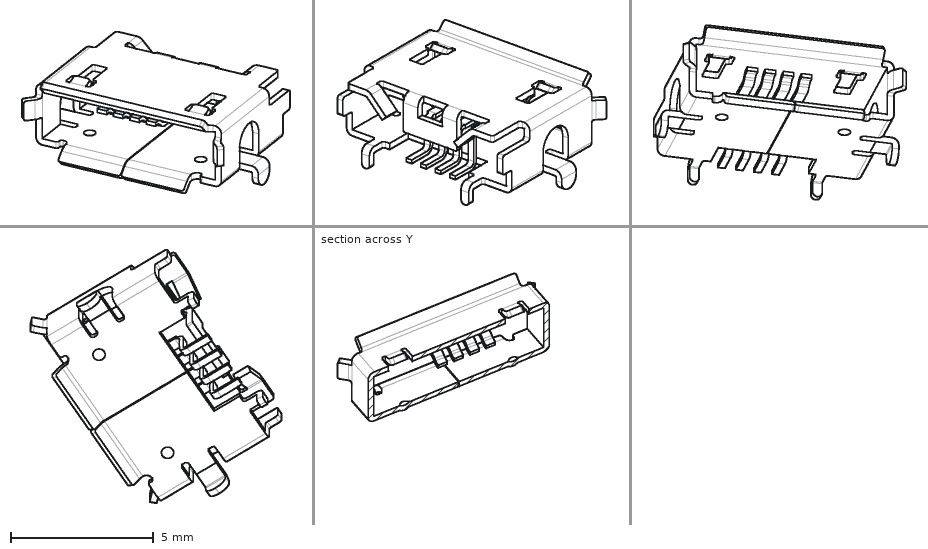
import cadquery as cq
import math

SHEET = 0.25
SHELL_WIDTH = 7.41
SHELL_HEIGHT = 2.36
SHELL_DEPTH = 5.01
CORNER_RADIUS = 0.26
HALF_WIDTH = SHELL_WIDTH / 2
WALL_INSIDE = HALF_WIDTH - SHEET
ROOF_INSIDE = SHELL_HEIGHT - SHEET
OVERCUT = 0.09

LIP_REACH = 0.59
LIP_ANGLE = 45
LIP_BEND = 0.2
LIP_TIP_RADIUS = 0.09
ROOF_LIP_WIDTH = 6.48
ROOF_LIP_ROOT = 0.13
SIDE_LIP_HEIGHT = 0.765
SIDE_LIP_CENTER_Z = 1.47
SIDE_LIP_ROOT = 0.09
FLOOR_LIP_HALF_WIDTH = 2.51
SEAM_GAP = 0.03
LIP_RELIEF_WIDTH = 0.33
LIP_RELIEF_DEPTH = 0.23
LIP_RELIEF_CORNER = 0.09
LIP_RELIEF_ROOT = 0.22

LEG_CENTER_Y = 2.03
LEG_WIDTH = 0.825
LEG_SPAN = 8.6
LEG_DROP = 0.58
LEG_BEND = 0.035
ROUND_END = 0.99
ARCH_WIDTH = 1.4
ARCH_TOP = 1.66
LEG_RELIEF_END = 2.87
LEG_RELIEF_RADIUS = 0.1

PIN_X = 2.23
PIN_WIDTH = 0.35
PIN_REAR = 5.28
PIN_ROOT = 0.095

FLOOR_REAR = 4.5
WALL_TAIL_BOTTOM = 0.955
WALL_TAIL_TOP = 1.71
WALL_TAIL_RADIUS = 0.11
WALL_NOTCH_RADIUS = 0.08
SIDE_SLOT_START = 3.49
ROOF_TAIL_HALF_WIDTH = 3.26
ROOF_TAIL_RADIUS = 0.1
ROOF_NOTCH_HALF_WIDTH = 2.44
ROOF_NOTCH_START = 4.12
ROOF_NOTCH_RADIUS = 0.09
CONTACT_NOTCH_HALF_WIDTH = 1.77
CONTACT_NOTCH_START = 3.44

WING_START = 4.395
WING_BEND = 0.1
WING_LENGTH = 0.955
WING_ANGLE = 45
STOP_WIDTH = 2.39
STOP_BEND = 0.08
STOP_BOTTOM = 0.87
STOP_TIP_RADIUS = 0.05
STOP_ROOT = 0.06
STOP_WINDOW_WIDTH = 1.08
STOP_WINDOW_BOTTOM = 1.63

TONGUE_X = 2.38
TONGUE_ROOT_Y = 0.62
TONGUE_WIDTH = 0.645
TONGUE_BEND = 0.465
TONGUE_TIP_RADIUS = 0.1
TONGUE_ANGLE = 45
WINDOW_WIDE = 0.98
WINDOW_NARROW = 0.59
WINDOW_STEP_Y = 1.15
WINDOW_REAR_Y = 2.27
WINDOW_RADIUS = 0.08

DIMPLE_X = 2.22
DIMPLE_Y = 1.21
DIMPLE_RADIUS = 0.215
DIMPLE_DEPTH = 0.09

CONTACT_PITCH = 0.65
CONTACT_SLOTS = (-2, -1, 0, 1)
CONTACT_THICKNESS = 0.15
BEAM_WIDTH = 0.38
TAIL_WIDTH = 0.26
SHOULDER_RADIUS = 0.06
TAIL_END_Y = 4.82
TAIL_Z = 0.047
LEG_Y = 3.715
BEAM_Z = 1.36
NOSE_Z = 1.62
NOSE_BEND_Y = 1.12
NOSE_END_Y = 0.43
CONTACT_BEND = 0.24
NOSE_BEND = 0.33
NOSE_ANGLE = 45


def block(x0, x1, y0, y1, z0, z1):
    """Box between two opposite corners."""
    return cq.Workplane("XY").box(x1 - x0, y1 - y0, z1 - z0, centered=False).translate((x0, y0, z0))


def both_sides(body):
    """The body together with its mirror image across the middle plane of the shell."""
    return body.union(body.mirror("YZ"))


def bent_strip(root, forward, inside, width, bend, angle, length=0, root_radius=0, tip_radius=0):
    """Sheet strip that leaves `root` along `forward` and folds towards `inside`.

    `root` lies on the face that ends up inside the fold, `bend` is the radius of that face, and
    `length` is the straight run after the fold.
    """
    forward = cq.Vector(*forward)
    inside = cq.Vector(*inside)
    across = forward.cross(inside)
    sine = math.sin(math.radians(angle))
    cosine = math.cos(math.radians(angle))
    half_sine = math.sin(math.radians(angle / 2))
    half_cosine = math.cos(math.radians(angle / 2))
    outer = bend + SHEET

    def on_fold(radius, along, toward):
        return (radius * along, bend - radius * toward)

    inner_end = on_fold(bend, sine, cosine)
    outer_end = on_fold(outer, sine, cosine)
    inner_tip = (inner_end[0] + length * cosine, inner_end[1] + length * sine)
    outer_tip = (outer_end[0] + length * cosine, outer_end[1] + length * sine)
    profile = cq.Workplane(cq.Plane(root, forward, across)).moveTo(0, -SHEET)
    profile = profile.threePointArc(on_fold(outer, half_sine, half_cosine), outer_end)
    if length:
        profile = profile.lineTo(*outer_tip)
        profile = profile.lineTo(*inner_tip)
    profile = profile.lineTo(*inner_end)
    profile = profile.threePointArc(on_fold(bend, half_sine, half_cosine), (0, 0)).close()
    strip = profile.extrude(width / 2 + root_radius, both=True)

    if root_radius:
        reach = outer + length
        outline = cq.Workplane(cq.Plane(root, forward, inside))
        for side in (-1, 1):
            edge = side * width / 2
            flare = side * (width / 2 + root_radius)
            trim = outline.moveTo(0, flare)
            trim = trim.radiusArc((root_radius, edge), -side * root_radius)
            trim = trim.lineTo(reach, edge).lineTo(reach, flare).close()
            strip = strip.cut(trim.extrude(reach, both=True))
    if tip_radius:
        tip_thickness = forward * sine - inside * cosine
        tip_edges = strip.edges(cq.selectors.ParallelDirSelector(tip_thickness))
        strip = tip_edges.fillet(tip_radius)
    return strip


def tube():
    """Folded sheet tube, open at the mouth and the rear."""
    outside = block(-HALF_WIDTH, HALF_WIDTH, 0, SHELL_DEPTH, 0, SHELL_HEIGHT)
    outside = outside.edges("|Y").fillet(CORNER_RADIUS)
    return outside.cut(block(-WALL_INSIDE, WALL_INSIDE, 0, SHELL_DEPTH, SHEET, ROOF_INSIDE))


def wall_tail_cut():
    """Step under the rear end of both walls, which also ends the floor."""
    notch = WALL_NOTCH_RADIUS
    tail = WALL_TAIL_RADIUS
    rear = SHELL_DEPTH + OVERCUT
    return (
        cq.Workplane("YZ")
        .moveTo(FLOOR_REAR, -OVERCUT)
        .lineTo(FLOOR_REAR, WALL_TAIL_BOTTOM - notch)
        .radiusArc((FLOOR_REAR + notch, WALL_TAIL_BOTTOM), notch)
        .lineTo(SHELL_DEPTH - tail, WALL_TAIL_BOTTOM)
        .radiusArc((SHELL_DEPTH, WALL_TAIL_BOTTOM + tail), -tail)
        .lineTo(rear, WALL_TAIL_BOTTOM + tail)
        .lineTo(rear, -OVERCUT)
        .close()
        .extrude(SHELL_WIDTH, both=True)
    )


def side_slot_cut():
    """Slots that free the rear of the walls from the roof, with the rounded corners left on both."""
    outside = HALF_WIDTH + OVERCUT
    rear = SHELL_DEPTH + OVERCUT
    top = SHELL_HEIGHT + OVERCUT
    wall_part = block(WALL_INSIDE, outside, SIDE_SLOT_START, rear, WALL_TAIL_TOP, top)
    wall_part = wall_part.edges("|X and <Y and <Z").fillet(WALL_TAIL_RADIUS)
    roof_part = block(ROOF_TAIL_HALF_WIDTH, outside, SIDE_SLOT_START, rear, ROOF_INSIDE, top)
    roof_part = roof_part.edges("|Z and <X and <Y").fillet(ROOF_TAIL_RADIUS)
    wall_corner = (
        cq.Workplane("YZ", origin=(WALL_INSIDE, 0, 0))
        .moveTo(SHELL_DEPTH - WALL_TAIL_RADIUS, WALL_TAIL_TOP)
        .radiusArc((SHELL_DEPTH, WALL_TAIL_TOP - WALL_TAIL_RADIUS), WALL_TAIL_RADIUS)
        .lineTo(SHELL_DEPTH, WALL_TAIL_TOP)
        .close()
        .extrude(SHEET)
    )
    roof_corner = (
        cq.Workplane("XY", origin=(0, 0, ROOF_INSIDE))
        .moveTo(ROOF_TAIL_HALF_WIDTH - ROOF_TAIL_RADIUS, SHELL_DEPTH)
        .radiusArc((ROOF_TAIL_HALF_WIDTH, SHELL_DEPTH - ROOF_TAIL_RADIUS), ROOF_TAIL_RADIUS)
        .lineTo(ROOF_TAIL_HALF_WIDTH, SHELL_DEPTH)
        .close()
        .extrude(SHEET)
    )
    return both_sides(wall_part.union(roof_part).union(wall_corner).union(roof_corner))


def rear_notch_cut():
    """Notches in the rear edges of roof and floor."""
    rear = SHELL_DEPTH + OVERCUT
    roof = block(
        -ROOF_NOTCH_HALF_WIDTH, ROOF_NOTCH_HALF_WIDTH, ROOF_NOTCH_START, rear, ROOF_INSIDE, SHELL_HEIGHT
    )
    roof = roof.edges("|Z and <Y").fillet(ROOF_NOTCH_RADIUS)
    floor = block(-CONTACT_NOTCH_HALF_WIDTH, CONTACT_NOTCH_HALF_WIDTH, CONTACT_NOTCH_START, rear, 0, SHEET)
    return roof.union(floor)


def leg_arch_cut():
    """Round-topped openings in the walls and the relief slots beside each leg."""
    arch_radius = ARCH_WIDTH / 2
    front = LEG_CENTER_Y - arch_radius
    rear = LEG_CENTER_Y + arch_radius
    spring_line = ARCH_TOP - arch_radius
    arch = (
        cq.Workplane("YZ", origin=(WALL_INSIDE, 0, 0))
        .moveTo(front, 0)
        .lineTo(front, spring_line)
        .threePointArc((LEG_CENTER_Y, ARCH_TOP), (rear, spring_line))
        .lineTo(rear, 0)
        .close()
        .extrude(SHEET)
    )
    reliefs = block(LEG_RELIEF_END, HALF_WIDTH, front, LEG_CENTER_Y - LEG_WIDTH / 2, 0, SHEET)
    reliefs = reliefs.union(block(LEG_RELIEF_END, HALF_WIDTH, LEG_CENTER_Y + LEG_WIDTH / 2, rear, 0, SHEET))
    reliefs = reliefs.edges("|Z and <X").fillet(LEG_RELIEF_RADIUS)
    return both_sides(arch.union(reliefs))


def floor_lip_relief_cut():
    """Round-cornered notches beside the floor lip."""
    inner = FLOOR_LIP_HALF_WIDTH
    outer = inner + LIP_RELIEF_WIDTH
    depth = LIP_RELIEF_DEPTH
    corner = LIP_RELIEF_CORNER
    root = LIP_RELIEF_ROOT
    notch = (
        cq.Workplane("XY")
        .moveTo(inner, -OVERCUT)
        .lineTo(inner, depth - root)
        .radiusArc((inner + root, depth), root)
        .lineTo(outer - corner, depth)
        .radiusArc((outer, depth - corner), corner)
        .lineTo(outer, corner)
        .radiusArc((outer + corner, 0), -corner)
        .lineTo(outer + corner, -OVERCUT)
        .close()
        .extrude(SHEET)
    )
    return both_sides(notch)


def seam_cut():
    """Thin gap where the two edges of the folded sheet meet in the floor."""
    return block(-SEAM_GAP / 2, SEAM_GAP / 2, 0, CONTACT_NOTCH_START, 0, SHEET)


def tongue_window_cut():
    """Stepped windows in the roof around the spring tongues."""
    wide = WINDOW_WIDE / 2
    narrow = WINDOW_NARROW / 2
    outline = [
        (-wide, TONGUE_ROOT_Y),
        (-wide, WINDOW_STEP_Y),
        (-narrow, WINDOW_STEP_Y),
        (-narrow, WINDOW_REAR_Y),
        (narrow, WINDOW_REAR_Y),
        (narrow, WINDOW_STEP_Y),
        (wide, WINDOW_STEP_Y),
        (wide, TONGUE_ROOT_Y),
    ]
    window = cq.Workplane("XY", origin=(TONGUE_X, 0, ROOF_INSIDE)).polyline(outline).close().extrude(SHEET)
    return both_sides(window.edges("|Z").fillet(WINDOW_RADIUS))


def mouth_lips():
    """Lips flared outwards along the roof, the walls and both halves of the floor."""
    angle = math.radians(LIP_ANGLE)
    length = (LIP_REACH - (LIP_BEND + SHEET) * math.sin(angle)) / math.cos(angle)
    fold = (LIP_BEND, LIP_ANGLE, length)
    front = (0, -1, 0)
    roof = bent_strip(
        (0, 0, SHELL_HEIGHT), front, (0, 0, 1), ROOF_LIP_WIDTH, *fold, ROOF_LIP_ROOT, LIP_TIP_RADIUS
    )
    side = bent_strip(
        (HALF_WIDTH, 0, SIDE_LIP_CENTER_Z), front, (1, 0, 0), SIDE_LIP_HEIGHT, *fold,
        SIDE_LIP_ROOT, LIP_TIP_RADIUS,
    )
    floor_width = FLOOR_LIP_HALF_WIDTH - SEAM_GAP / 2
    floor_center = (FLOOR_LIP_HALF_WIDTH + SEAM_GAP / 2) / 2
    floor = bent_strip(
        (floor_center, 0, 0), front, (0, 0, -1), floor_width, *fold, tip_radius=LIP_TIP_RADIUS
    )
    return [roof, side, side.mirror("YZ"), floor, floor.mirror("YZ")]


def leg():
    """Side leg: runs out of the floor through the arch and folds down to a round end."""
    fold_x = LEG_SPAN / 2 - SHEET - LEG_BEND
    half = LEG_WIDTH / 2
    base = block(WALL_INSIDE, fold_x, LEG_CENTER_Y - half, LEG_CENTER_Y + half, 0, SHEET)
    end = bent_strip(
        (fold_x, LEG_CENTER_Y, 0), (1, 0, 0), (0, 0, -1), LEG_WIDTH, LEG_BEND, 90,
        LEG_DROP - LEG_BEND, tip_radius=ROUND_END * half,
    )
    return base.union(end)


def rear_pin():
    """Rear pin: runs out of the floor's rear edge and folds down to a round end."""
    fold_y = PIN_REAR - SHEET - LEG_BEND
    half = PIN_WIDTH / 2
    base = block(PIN_X - half, PIN_X + half, FLOOR_REAR, fold_y, 0, SHEET)
    for side in (-1, 1):
        edge = PIN_X + side * half
        gusset = (
            cq.Workplane("XY")
            .moveTo(edge, FLOOR_REAR)
            .lineTo(edge + side * PIN_ROOT, FLOOR_REAR)
            .radiusArc((edge, FLOOR_REAR + PIN_ROOT), side * PIN_ROOT)
            .close()
            .extrude(SHEET)
        )
        base = base.union(gusset)
    end = bent_strip(
        (PIN_X, fold_y, 0), (0, 1, 0), (0, 0, -1), PIN_WIDTH, LEG_BEND, 90,
        LEG_DROP - LEG_BEND, tip_radius=ROUND_END * half,
    )
    return base.union(end)


def wing():
    """Wing folded down diagonally from the edge of the roof notch, towards the middle."""
    center_y = (WING_START + SHELL_DEPTH) / 2
    root = (ROOF_NOTCH_HALF_WIDTH, center_y, ROOF_INSIDE)
    width = SHELL_DEPTH - WING_START
    return bent_strip(root, (-1, 0, 0), (0, 0, -1), width, WING_BEND, WING_ANGLE, WING_LENGTH)


def rear_stop():
    """Two arms folded straight down from the roof, joined by a plate below a window."""
    length = ROOF_INSIDE - STOP_BEND - STOP_BOTTOM
    stop = bent_strip(
        (0, ROOF_NOTCH_START, ROOF_INSIDE), (0, 1, 0), (0, 0, -1), STOP_WIDTH, STOP_BEND, 90,
        length, STOP_ROOT, STOP_TIP_RADIUS,
    )
    half = STOP_WINDOW_WIDTH / 2
    return stop.cut(block(-half, half, ROOF_NOTCH_START, SHELL_DEPTH, STOP_WINDOW_BOTTOM, SHELL_HEIGHT))


def tongue():
    """Spring tongue that curls up out of the roof from the front edge of its window."""
    return bent_strip(
        (TONGUE_X, TONGUE_ROOT_Y, SHELL_HEIGHT), (0, 1, 0), (0, 0, 1), TONGUE_WIDTH,
        TONGUE_BEND, TONGUE_ANGLE, tip_radius=TONGUE_TIP_RADIUS,
    )


def dimple_cap(face_z):
    """Pair of sphere segments that reach one dimple depth below and above the given height."""
    sphere_radius = (DIMPLE_RADIUS**2 + DIMPLE_DEPTH**2) / (2 * DIMPLE_DEPTH)
    center_z = face_z + sphere_radius - DIMPLE_DEPTH
    sphere = cq.Workplane("XY").sphere(sphere_radius).translate((DIMPLE_X, DIMPLE_Y, center_z))
    slab = cq.Workplane("XY").box(2 * sphere_radius, 2 * sphere_radius, 2 * DIMPLE_DEPTH)
    return both_sides(sphere.intersect(slab.translate((DIMPLE_X, DIMPLE_Y, face_z))))


def shell():
    """Sheet metal shell with all its cut-outs, lips, tabs, legs and pins."""
    body = tube()
    for cutter in (
        wall_tail_cut(),
        side_slot_cut(),
        rear_notch_cut(),
        leg_arch_cut(),
        floor_lip_relief_cut(),
        seam_cut(),
        tongue_window_cut(),
    ):
        body = body.cut(cutter)
    for lip in mouth_lips():
        body = body.union(lip)
    for tab in (leg(), rear_pin(), wing(), tongue()):
        body = body.union(tab).union(tab.mirror("YZ"))
    body = body.union(rear_stop())
    return body.union(dimple_cap(0)).cut(dimple_cap(SHEET))


def contact(x):
    """Contact strip: solder tail, upright leg, then a beam whose front end rises to a nose."""
    bend = CONTACT_BEND
    near = bend * (1 - math.cos(math.radians(45)))
    nose_angle = math.radians(NOSE_ANGLE)
    half_angle = nose_angle / 2
    arc_run = NOSE_BEND * math.sin(nose_angle)
    arc_rise = NOSE_BEND * (1 - math.cos(nose_angle))
    half_run = NOSE_BEND * math.sin(half_angle)
    half_rise = NOSE_BEND * (1 - math.cos(half_angle))
    ramp_run = (NOSE_Z - BEAM_Z - 2 * arc_rise) / math.tan(nose_angle)
    nose_y = NOSE_BEND_Y - 2 * arc_run - ramp_run
    path = (
        cq.Workplane("YZ", origin=(x, 0, 0))
        .moveTo(TAIL_END_Y, TAIL_Z)
        .lineTo(LEG_Y + bend, TAIL_Z)
        .threePointArc((LEG_Y + near, TAIL_Z + near), (LEG_Y, TAIL_Z + bend))
        .lineTo(LEG_Y, BEAM_Z - bend)
        .threePointArc((LEG_Y - near, BEAM_Z - near), (LEG_Y - bend, BEAM_Z))
        .lineTo(NOSE_BEND_Y, BEAM_Z)
        .threePointArc(
            (NOSE_BEND_Y - half_run, BEAM_Z + half_rise), (NOSE_BEND_Y - arc_run, BEAM_Z + arc_rise)
        )
        .lineTo(nose_y + arc_run, NOSE_Z - arc_rise)
        .threePointArc((nose_y + half_run, NOSE_Z - half_rise), (nose_y, NOSE_Z))
        .lineTo(NOSE_END_Y, NOSE_Z)
    )
    section = cq.Workplane("XZ", origin=(x, TAIL_END_Y, TAIL_Z)).rect(BEAM_WIDTH, CONTACT_THICKNESS)
    strip = section.sweep(path)
    shoulder_y = LEG_Y - bend + SHOULDER_RADIUS
    for side in (-1, 1):
        inner = side * TAIL_WIDTH / 2
        outer = side * BEAM_WIDTH
        left = x + min(inner, outer)
        right = x + max(inner, outer)
        trim = block(left, right, shoulder_y, TAIL_END_Y + OVERCUT, -OVERCUT, SHELL_HEIGHT)
        inner_edge = "|Z and <Y and " + ("<X" if side > 0 else ">X")
        strip = strip.cut(trim.edges(inner_edge).fillet(SHOULDER_RADIUS))
    return strip


shell_body = shell()
contacts = [contact(slot * CONTACT_PITCH) for slot in CONTACT_SLOTS]
result = cq.Compound.makeCompound([shell_body.val(), *[strip.val() for strip in contacts]])